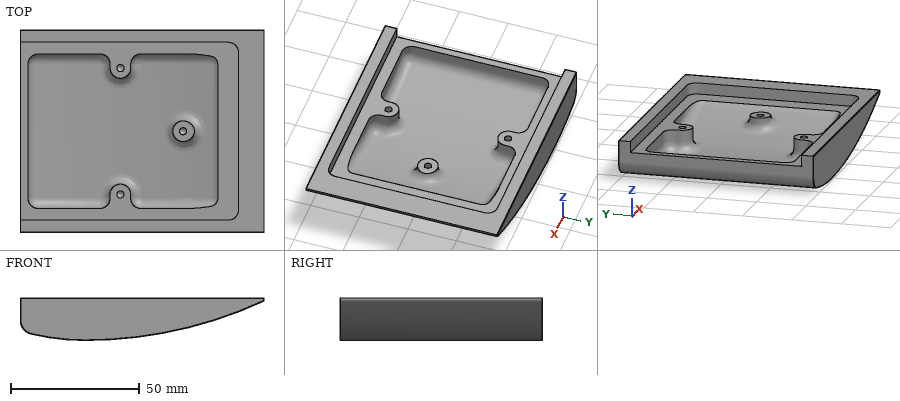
import cadquery as cq
import math

LENGTH = 95.0
WIDTH = 79.0
HEIGHT = 16.6

LOWEST_X = 25.2
REAR_ARC_RADIUS = 90.0
FRONT_ARC_RADIUS = 166.0
REAR_EDGE_ROUND = 5.5
FRONT_EDGE_ROUND = 1.0
SIDE_CHAMFER = 0.25

LID_DEPTH = 4.5
LID_END_X = 85.0
LID_WIDTH = 69.3
LID_CORNER_RADIUS = 4.0

SHELL = 3.0
POCKET_START_X = SHELL
POCKET_END_X = 77.8
POCKET_WIDTH = 60.2
POCKET_RADIUS = 4.0

BOSS_RADIUS = 4.0
SIDE_BOSS_X = 39.0
SIDE_BOSS_Y = 24.6
CENTRE_BOSS_X = 63.4
HOLE_DIAMETER = 2.8
HOLE_DEPTH = 5.0
DRILL_POINT_ANGLE = 118.0

SEAM_TOLERANCE = 0.01

CLEARANCE = 10.0


def arc_height(radius, lowest_z, x):
    """Z at x of an arc whose lowest point is (LOWEST_X, lowest_z)."""
    return lowest_z + radius - math.sqrt(radius**2 - (x - LOWEST_X) ** 2)


def curved_slab(offset, start_x, end_x, top_z, width):
    """Solid between top_z and a floor lying `offset` inside the underside."""
    lowest_z = -HEIGHT + offset
    rear_radius = REAR_ARC_RADIUS - offset
    front_radius = FRONT_ARC_RADIUS - offset
    rear_mid_x = (start_x + LOWEST_X) / 2
    front_mid_x = (LOWEST_X + end_x) / 2
    return (
        cq.Workplane("XZ")
        .moveTo(start_x, top_z)
        .lineTo(start_x, arc_height(rear_radius, lowest_z, start_x))
        .threePointArc(
            (rear_mid_x, arc_height(rear_radius, lowest_z, rear_mid_x)),
            (LOWEST_X, lowest_z),
        )
        .threePointArc(
            (front_mid_x, arc_height(front_radius, lowest_z, front_mid_x)),
            (end_x, arc_height(front_radius, lowest_z, end_x)),
        )
        .lineTo(end_x, top_z)
        .close()
        .extrude(width / 2, both=True)
    )


def make_body():
    body = curved_slab(0, 0, LENGTH, 0, WIDTH)
    body = body.faces("<X").edges("<Z").fillet(REAR_EDGE_ROUND)
    body = body.faces(">X").edges("<Z").fillet(FRONT_EDGE_ROUND)
    return body.faces("<Y or >Y").edges().chamfer(SIDE_CHAMFER)


def make_lid_recess():
    return (
        cq.Workplane("XY", origin=(0, 0, -LID_DEPTH))
        .rect(2 * LID_END_X, LID_WIDTH)
        .extrude(LID_DEPTH + CLEARANCE)
        .edges("|Z and >X")
        .fillet(LID_CORNER_RADIUS)
    )


def upright_prism(plan):
    """Column over `plan`, drawn at the underside, reaching past the pocket's top."""
    return plan.extrude(HEIGHT + 2 * CLEARANCE)


def is_floor_boundary(edge):
    """True for a pocket floor edge other than the seam between the floor arcs."""
    centre = edge.Center()
    on_seam = abs(centre.x - LOWEST_X) < SEAM_TOLERANCE
    return centre.z < 0 and not on_seam


def make_pocket():
    base = cq.Workplane("XY", origin=(0, 0, -HEIGHT))
    pocket = curved_slab(SHELL, POCKET_START_X, POCKET_END_X, CLEARANCE, POCKET_WIDTH)

    neck_length = POCKET_WIDTH / 2 - SIDE_BOSS_Y + CLEARANCE
    for side in (-1, 1):
        boss = upright_prism(base.center(SIDE_BOSS_X, side * SIDE_BOSS_Y).circle(BOSS_RADIUS))
        neck_y = side * (SIDE_BOSS_Y + neck_length / 2)
        neck = upright_prism(base.center(SIDE_BOSS_X, neck_y).rect(2 * BOSS_RADIUS, neck_length))
        pocket = pocket.cut(boss.union(neck))

    for side in ("<Y", ">Y"):
        pocket = pocket.faces(side).edges("|Z").fillet(POCKET_RADIUS)

    pocket = pocket.cut(upright_prism(base.center(CENTRE_BOSS_X, 0).circle(BOSS_RADIUS)))

    pocket = pocket.edges("not(|Z)").filter(is_floor_boundary).fillet(POCKET_RADIUS)

    return pocket.cut(
        cq.Workplane("XY", origin=(0, 0, -LID_DEPTH))
        .rect(2 * LENGTH, WIDTH)
        .extrude(LID_DEPTH + CLEARANCE)
    )


def make_screw_hole(x, y):
    """Blind hole from the boss top, ending in a drill point."""
    radius = HOLE_DIAMETER / 2
    point_depth = radius / math.tan(math.radians(DRILL_POINT_ANGLE / 2))
    return (
        cq.Workplane("XZ", origin=(x, y, -LID_DEPTH))
        .lineTo(radius, 0)
        .lineTo(radius, -HOLE_DEPTH)
        .lineTo(0, -HOLE_DEPTH - point_depth)
        .close()
        .revolve(360, (0, 0), (0, 1))
    )


result = make_body().cut(make_lid_recess()).cut(make_pocket())
for boss_x, boss_y in (
    (SIDE_BOSS_X, -SIDE_BOSS_Y),
    (SIDE_BOSS_X, SIDE_BOSS_Y),
    (CENTRE_BOSS_X, 0),
):
    result = result.cut(make_screw_hole(boss_x, boss_y))